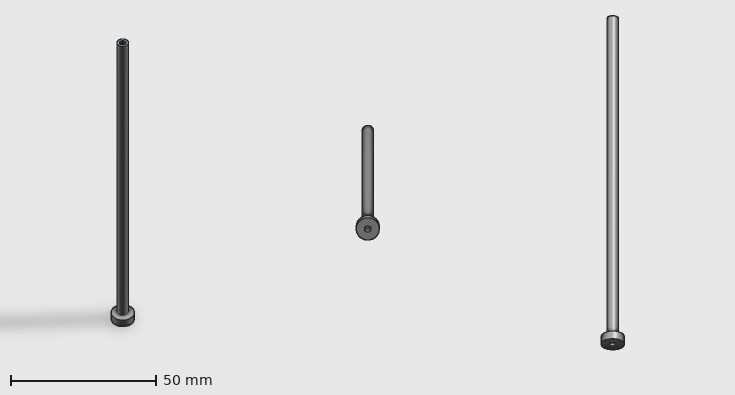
import cadquery as cq

total_length = 128.0
head_diameter = 8.0
head_height = 3.0
shaft_diameter = 4.0
bore_diameter = 2.2
root_fillet_radius = 0.3

shaft_radius = shaft_diameter / 2
head_radius = head_diameter / 2
bore_radius = bore_diameter / 2


def sleeve_half_profile():
    """Half section in the XZ plane, on the -X side of the axis, head at the bottom."""
    return (
        cq.Workplane("XZ")
        .moveTo(-bore_radius, 0)
        .lineTo(-head_radius, 0)
        .lineTo(-head_radius, head_height)
        .lineTo(-shaft_radius - root_fillet_radius, head_height)
        .radiusArc((-shaft_radius, head_height + root_fillet_radius), -root_fillet_radius)
        .lineTo(-shaft_radius, total_length)
        .lineTo(-bore_radius, total_length)
        .close()
    )


result = sleeve_half_profile().revolve(360, (0, 0), (0, 1))